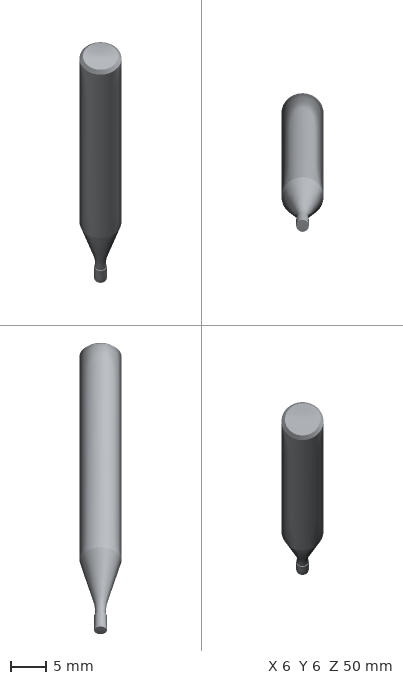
import cadquery as cq
import math

total_length = 50.0
shank_radius = 3.0
shank_chamfer = 0.5

tip_radius = 0.9
tip_length = 2.7
neck_radius = 0.8
neck_top = 3.65

cone_half_angle = math.radians(15.0)
blend_radius = 6.0
blend_top = neck_top + blend_radius * math.sin(cone_half_angle)
blend_top_radius = neck_radius + blend_radius * (1 - math.cos(cone_half_angle))
cone_top = blend_top + (shank_radius - blend_top_radius) / math.tan(cone_half_angle)

half_blend_angle = cone_half_angle / 2
blend_middle = (
    neck_radius + blend_radius * (1 - math.cos(half_blend_angle)),
    neck_top + blend_radius * math.sin(half_blend_angle),
)


def make_tip():
    """Plain cylindrical cutting tip standing on the XY plane."""
    return cq.Workplane("XY").circle(tip_radius).extrude(tip_length)


def make_shank():
    """Neck, blend, cone and chamfered shank, revolved about Z."""
    profile = (
        cq.Workplane("XZ")
        .moveTo(0, tip_length)
        .lineTo(neck_radius, tip_length)
        .lineTo(neck_radius, neck_top)
        .threePointArc(blend_middle, (blend_top_radius, blend_top))
        .lineTo(shank_radius, cone_top)
        .lineTo(shank_radius, total_length)
        .lineTo(0, total_length)
        .close()
    )
    body = profile.revolve(360, (0, 0, 0), (0, 1, 0))
    return body.faces(">Z").edges().chamfer(shank_chamfer)


tip = make_tip()
shank = make_shank()

result = cq.Compound.makeCompound([tip.val(), shank.val()])